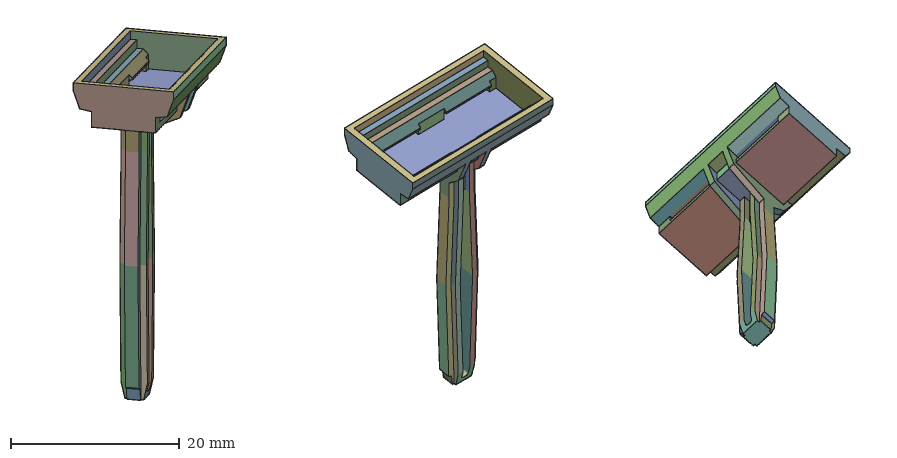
import cadquery as cq
import math

TOTAL_HEIGHT = 42.0
TRAY_WIDTH = 12.4
TRAY_LENGTH = 22.0

RIM_DEPTH = 1.0
WALL_ANGLE = 20.0
WALL_DEPTH = 3.2
LIP_DEPTH = 3.4
BOX_WIDTH = 7.9
FLOOR_DEPTH = 4.55
BOX_DEPTH = 5.35
END_WALL = 0.9

STEP_WIDTH = 0.8
STEP_DEPTH = 1.05
STEP_COUNT = 2
PILLAR_GAP = 6.3
LIP_GAP = 5.55
LIP_EDGE_DEPTH = 3.15
PILLAR_LENGTH = 1.0

HANDLE_X = -1.55
INNER_LAYER_WIDTH = 3.28
OUTER_LAYER_WIDTH = 1.7
SLOT_HALF = 0.45
INNER_LAYER_HALF = 1.2
OUTER_LAYER_HALF = 2.0

BEND_START_Z = 31.0
BULGE_Z = 16.93
BULGE = 0.5
SLOT_END_Z = 0.75
SLOT_CORNER_RADIUS = 0.38

TIP_TAPER_Z = 2.1
TIP_WIDTH = 2.3
TIP_SHOULDER_TOP_Z = 1.7
TIP_SHOULDER_Z = 1.43
TIP_SHOULDER_HALF = 1.65
TIP_HALF = 1.45

NECK_LEFT_DEPTH = 6.85
NECK_RIGHT_DEPTH = 6.2
NECK_END_DEPTH = 8.5

BOX_BOTTOM_Z = TOTAL_HEIGHT - BOX_DEPTH


def box(x_range, y_range, z_range):
    """Axis-aligned block between the given limits."""
    corners = list(zip(x_range, y_range, z_range))
    sizes = [high - low for low, high in zip(*corners)]
    return cq.Workplane("XY").box(*sizes, centered=False).translate(corners[0])


def extrude_along_y(points, y_start, y_end):
    """Extrude an (x, z) outline from y_start to y_end."""
    outline = cq.Workplane("XZ", origin=(0, y_start, 0)).polyline(points).close()
    return outline.extrude(y_start - y_end)


def extrude_along_x(points, width):
    """Extrude a (y, z) outline, centred on the handle."""
    outline = cq.Workplane("YZ", origin=(HANDLE_X, 0, 0)).polyline(points).close()
    return outline.extrude(width / 2, both=True)


def mirrored(right_side):
    """Complete an outline from its right side, listed from top to bottom."""
    return right_side + [(-x, z) for x, z in reversed(right_side)]


def from_rim(right_side):
    """Turn (half width, depth) pairs into a symmetric (x, z) outline."""
    return mirrored([(x, TOTAL_HEIGHT - depth) for x, depth in right_side])


def wall_x(depth):
    """Half width of the leaning outer wall at a depth below the rim."""
    return TRAY_WIDTH / 2 - (depth - RIM_DEPTH) * math.tan(math.radians(WALL_ANGLE))


def make_tray_body():
    outline = from_rim([
        (TRAY_WIDTH / 2, 0),
        (TRAY_WIDTH / 2, RIM_DEPTH),
        (wall_x(WALL_DEPTH), WALL_DEPTH),
        (BOX_WIDTH / 2, LIP_DEPTH),
        (BOX_WIDTH / 2, BOX_DEPTH),
    ])
    return extrude_along_y(outline, -TRAY_LENGTH / 2, TRAY_LENGTH / 2)


def make_neck_plate(side):
    handle_left = HANDLE_X - OUTER_LAYER_WIDTH / 2
    handle_right = HANDLE_X + OUTER_LAYER_WIDTH / 2
    outline = [
        (-wall_x(RIM_DEPTH), TOTAL_HEIGHT - RIM_DEPTH),
        (-wall_x(NECK_LEFT_DEPTH), TOTAL_HEIGHT - NECK_LEFT_DEPTH),
        (handle_left, TOTAL_HEIGHT - NECK_END_DEPTH),
        (handle_right, TOTAL_HEIGHT - NECK_END_DEPTH),
        (wall_x(NECK_RIGHT_DEPTH), TOTAL_HEIGHT - NECK_RIGHT_DEPTH),
        (wall_x(RIM_DEPTH), TOTAL_HEIGHT - RIM_DEPTH),
    ]
    return extrude_along_y(outline, side * INNER_LAYER_HALF, side * OUTER_LAYER_HALF)


def make_cavity():
    """Stepped trough, narrowed by the lips except beside the pillars."""
    inner_end = TRAY_LENGTH / 2 - END_WALL
    steps = []
    for step in range(STEP_COUNT):
        half_width = TRAY_WIDTH / 2 - (step + 1) * STEP_WIDTH
        steps.append((half_width, step * STEP_DEPTH))
        steps.append((half_width, (step + 1) * STEP_DEPTH))
    lip_top = (TRAY_WIDTH / 2 - (STEP_COUNT + 1) * STEP_WIDTH, STEP_COUNT * STEP_DEPTH)
    outline = from_rim(steps + [
        lip_top,
        (LIP_GAP / 2, LIP_EDGE_DEPTH),
        (LIP_GAP / 2, FLOOR_DEPTH),
    ])
    cavity = extrude_along_y(outline, -inner_end, inner_end)

    top_z = TOTAL_HEIGHT - lip_top[1]
    floor_z = TOTAL_HEIGHT - FLOOR_DEPTH
    pillar_start = inner_end - PILLAR_LENGTH
    pillar_spans = [
        (-inner_end, -pillar_start),
        (-OUTER_LAYER_HALF, OUTER_LAYER_HALF),
        (pillar_start, inner_end),
    ]
    for span in pillar_spans:
        cavity = cavity.union(box((-PILLAR_GAP / 2, PILLAR_GAP / 2), span, (floor_z, top_z)))

    window_z = (floor_z, TOTAL_HEIGHT - LIP_DEPTH)
    for span in [(-pillar_start, -OUTER_LAYER_HALF), (OUTER_LAYER_HALF, pillar_start)]:
        cavity = cavity.union(box((-BOX_WIDTH / 2, BOX_WIDTH / 2), span, window_z))
    return cavity


def bowed_outline(half_width):
    """Symmetric (y, z) outline that bows outwards at the bulge."""
    return mirrored([
        (half_width, BOX_BOTTOM_Z),
        (half_width, BEND_START_Z),
        (half_width + BULGE, BULGE_Z),
        (half_width, 0),
    ])


def make_outer_layer():
    """Narrow layer, with its shouldered tip."""
    shoulder_half = OUTER_LAYER_HALF + BULGE * TIP_SHOULDER_TOP_Z / BULGE_Z
    outline = mirrored([
        (OUTER_LAYER_HALF, BOX_BOTTOM_Z),
        (OUTER_LAYER_HALF, BEND_START_Z),
        (OUTER_LAYER_HALF + BULGE, BULGE_Z),
        (shoulder_half, TIP_SHOULDER_TOP_Z),
        (TIP_SHOULDER_HALF, TIP_SHOULDER_Z),
        (TIP_HALF, 0),
    ])
    return extrude_along_x(outline, OUTER_LAYER_WIDTH)


def make_inner_layer():
    """Wide layer, tapered in width at the tip."""
    side = [
        (INNER_LAYER_WIDTH / 2, BOX_BOTTOM_Z),
        (INNER_LAYER_WIDTH / 2, TIP_TAPER_Z),
        (TIP_WIDTH / 2, 0),
    ]
    taper_outline = [(HANDLE_X + x, z) for x, z in mirrored(side)]
    reach = INNER_LAYER_HALF + BULGE
    taper = extrude_along_y(taper_outline, -reach, reach)
    return extrude_along_x(bowed_outline(INNER_LAYER_HALF), INNER_LAYER_WIDTH).intersect(taper)


def make_slot():
    """Gap between the arms; above the bend a web of the outer layer's width fills its middle."""
    slot = extrude_along_x(bowed_outline(SLOT_HALF), INNER_LAYER_WIDTH)
    reach = SLOT_HALF + BULGE
    left = HANDLE_X - INNER_LAYER_WIDTH / 2
    right = HANDLE_X + INNER_LAYER_WIDTH / 2
    slot = slot.cut(box((left, right), (-reach, reach), (0, SLOT_END_Z)))
    slot = slot.edges("|X").edges("<Z").fillet(SLOT_CORNER_RADIUS)
    web_x = (HANDLE_X - OUTER_LAYER_WIDTH / 2, HANDLE_X + OUTER_LAYER_WIDTH / 2)
    return slot.cut(box(web_x, (-reach, reach), (BEND_START_Z, BOX_BOTTOM_Z)))


handle = make_inner_layer().union(make_outer_layer()).cut(make_slot())
tray = make_tray_body()
for side in (-1, 1):
    tray = tray.union(make_neck_plate(side))
result = tray.cut(make_cavity()).union(handle)